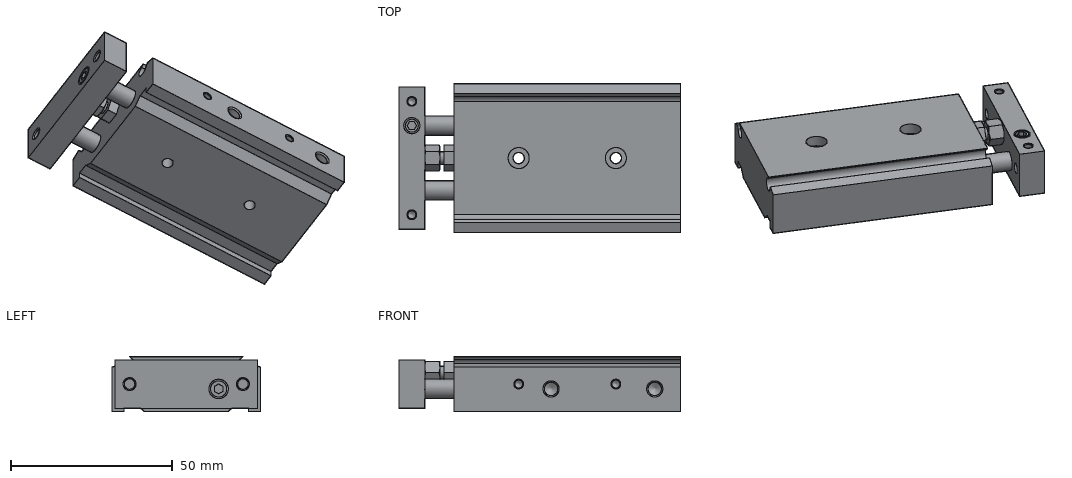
import cadquery as cq
import math


housing_length = 70.0
housing_width = 46.0
housing_height = 17.0
shoulder_height = 13.72
shoulder_inner_height = 14.85

groove_diameter = 4.0
groove_neck_width = 3.2
groove_neck_angle = 47.0
groove_y = 17.0
groove_z = 14.13

channel_depth = 2.3
channel_outer_y = 19.2
foot_half_width = 12.9
foot_flare = 2.8

mount_hole_x = (20.0, 50.0)
mount_hole_diameter = 3.4
counterbore_diameter = 6.5
counterbore_depth = 3.3

m3_drill, m3_mouth, m3_depth = 2.46, 3.0, 5.0
m4_drill, m4_mouth = 3.24, 4.0
m5_drill, m5_mouth, m5_depth = 4.13, 5.0, 4.5
drill_point_angle = 118.0
side_m3_x = mount_hole_x
side_m3_z = 8.5
port_x = (30.0, 62.0)
port_z = 7.0

plate_thickness = 8.0
plate_width = 44.0
plate_height = 15.0
plate_bottom_z = 1.0
plate_gap = 9.0
plate_back_x = -plate_gap
plate_front_x = plate_back_x - plate_thickness
plate_middle_x = plate_front_x + plate_thickness / 2
plate_top_z = plate_bottom_z + plate_height
plate_hole_y = 17.5
plate_hole_z = 8.5

rod_diameter = 6.0
rod_y = 10.0
rod_z = 7.0

stop_z = 12.0
stop_hex_flats = 7.0
stop_thread_diameter = 4.0
lock_nut_length = 4.7
stop_head_length = 3.1
hex_chamfer_angle = 30.0

rod_screw_recess_diameter = 6.0
rod_screw_diameter = 5.0
rod_screw_socket_flats = 2.65
clamp_screw_recess_diameter = 5.0
clamp_screw_diameter = 4.0
clamp_screw_socket_flats = 2.5
screw_recess_depth = 1.0
socket_depth = 1.8


def across_corners(flats):
    return flats / math.cos(math.pi / 6)


def drilled_hole(drill, mouth, depth):
    """Drilled hole with a pointed end and a 45 degree mouth chamfer; axis along Z, mouth at Z = 0."""
    drill_radius = drill / 2
    mouth_radius = mouth / 2
    chamfer = mouth_radius - drill_radius
    point_length = drill_radius / math.tan(math.radians(drill_point_angle / 2))
    profile = [
        (0, 0),
        (mouth_radius, 0),
        (drill_radius, -chamfer),
        (drill_radius, -depth),
        (0, -depth - point_length),
    ]
    return cq.Workplane("XZ").polyline(profile).close().revolve(360, (0, 0), (0, 1))


def screw_recess(recess_diameter, screw_diameter, socket_flats):
    """Ring gap around a screw end with a hexagon socket in it; its axis is Z and its face is at Z = 0."""
    ring = (
        cq.Workplane("XY")
        .circle(recess_diameter / 2)
        .circle(screw_diameter / 2)
        .extrude(-screw_recess_depth)
    )
    socket = cq.Workplane("XY").polygon(6, across_corners(socket_flats)).extrude(-socket_depth)
    return ring.add(socket).combine()


def facing_left(tool):
    """Turn a tool whose mouth faces +Z so that its mouth faces -X."""
    return tool.rotate((0, 0, 0), (0, 1, 0), -90)


def facing_front(tool):
    """Turn a tool whose mouth faces +Z so that its mouth faces -Y."""
    return tool.rotate((0, 0, 0), (1, 0, 0), 90)


def neck_wall_y(height, wall):
    """Y of the groove neck's inner (wall = -1) or outer (wall = 1) wall at a height."""
    angle = math.radians(groove_neck_angle)
    wall_offset = wall * groove_neck_width / 2
    return groove_y + ((height - groove_z) * math.cos(angle) + wall_offset) / math.sin(angle)


def housing_blank():
    half_width = housing_width / 2
    top_half_width = neck_wall_y(housing_height, -1)
    shoulder_inner_y = neck_wall_y(shoulder_inner_height, 1)
    shoulder_slope = (shoulder_height - shoulder_inner_height) / (half_width - shoulder_inner_y)
    shoulder_end_z = shoulder_inner_height + shoulder_slope * (top_half_width - shoulder_inner_y)
    right_side = [
        (foot_half_width, 0),
        (foot_half_width + foot_flare, channel_depth),
        (channel_outer_y, channel_depth),
        (channel_outer_y, 0),
        (half_width, 0),
        (half_width, shoulder_height),
        (top_half_width, shoulder_end_z),
        (top_half_width, housing_height),
    ]
    left_side = [(-y, z) for y, z in reversed(right_side)]
    return cq.Workplane("YZ").polyline(right_side + left_side).close().extrude(housing_length)


def sensor_groove(side):
    channel = (
        cq.Workplane("YZ")
        .center(side * groove_y, groove_z)
        .circle(groove_diameter / 2)
        .extrude(housing_length)
    )
    neck_length = housing_height - groove_z + groove_neck_width
    turn = groove_neck_angle if side > 0 else 180 - groove_neck_angle
    neck = (
        cq.Workplane("YZ")
        .center(neck_length / 2, 0)
        .rect(neck_length, groove_neck_width)
        .extrude(housing_length)
        .rotate((0, 0, 0), (1, 0, 0), turn)
        .translate((0, side * groove_y, groove_z))
    )
    return channel.union(neck)


def build_housing():
    body = housing_blank()
    for side in (1, -1):
        body = body.cut(sensor_groove(side))
    body = (
        body.faces(">Z")
        .workplane(origin=(0, 0, housing_height))
        .pushPoints([(x, 0) for x in mount_hole_x])
        .cboreHole(mount_hole_diameter, counterbore_diameter, counterbore_depth)
    )
    side_hole = facing_front(drilled_hole(m3_drill, m3_mouth, m3_depth))
    for x in side_m3_x:
        body = body.cut(side_hole.translate((x, -housing_width / 2, side_m3_z)))
    port = facing_front(drilled_hole(m5_drill, m5_mouth, m5_depth))
    for x in port_x:
        body = body.cut(port.translate((x, -housing_width / 2, port_z)))
    return body


def hex_prism(length, left_x):
    corner_diameter = across_corners(stop_hex_flats)
    return cq.Workplane("YZ", origin=(left_x, 0, stop_z)).polygon(6, corner_diameter).extrude(length)


def turned_nut(length, left_x):
    """Hexagon along X with both rims turned down to the across-flats circle."""
    corner_radius = across_corners(stop_hex_flats) / 2
    flat_radius = stop_hex_flats / 2
    chamfer = (corner_radius - flat_radius) * math.tan(math.radians(hex_chamfer_angle))
    profile = [
        (0, 0),
        (0, flat_radius),
        (chamfer, corner_radius),
        (length - chamfer, corner_radius),
        (length, flat_radius),
        (length, 0),
    ]
    turned = cq.Workplane("XY").polyline(profile).close().revolve(360, (0, 0), (1, 0))
    return hex_prism(length, left_x).intersect(turned.translate((left_x, 0, stop_z)))


def build_rod_assembly():
    plate = cq.Workplane("XY").box(
        plate_thickness, plate_width, plate_height, centered=(False, True, False)
    ).translate((plate_front_x, 0, plate_bottom_z))

    top_hole = drilled_hole(m3_drill, m3_mouth, m3_depth)
    front_hole = facing_left(drilled_hole(m4_drill, m4_mouth, plate_thickness))
    for y in (plate_hole_y, -plate_hole_y):
        plate = plate.cut(top_hole.translate((plate_middle_x, y, plate_top_z)))
        plate = plate.cut(front_hole.translate((plate_front_x, y, plate_hole_z)))

    rod_screw = screw_recess(rod_screw_recess_diameter, rod_screw_diameter, rod_screw_socket_flats)
    plate = plate.cut(facing_left(rod_screw).translate((plate_front_x, -rod_y, rod_z)))
    clamp_screw = screw_recess(clamp_screw_recess_diameter, clamp_screw_diameter, clamp_screw_socket_flats)
    plate = plate.cut(clamp_screw.translate((plate_middle_x, rod_y, plate_top_z)))

    rods = (
        cq.Workplane("YZ", origin=(plate_back_x, 0, rod_z))
        .pushPoints([(rod_y, 0), (-rod_y, 0)])
        .circle(rod_diameter / 2)
        .extrude(plate_gap)
    )
    stop_thread = (
        cq.Workplane("YZ", origin=(plate_back_x, 0, stop_z))
        .circle(stop_thread_diameter / 2)
        .extrude(plate_gap)
    )
    lock_nut = turned_nut(lock_nut_length, plate_back_x)
    stop_head = hex_prism(stop_head_length, -stop_head_length)
    return plate.union(rods).union(stop_thread).union(lock_nut).union(stop_head)


housing = build_housing()
rod_assembly = build_rod_assembly()

result = cq.Compound.makeCompound([housing.val(), rod_assembly.val()])